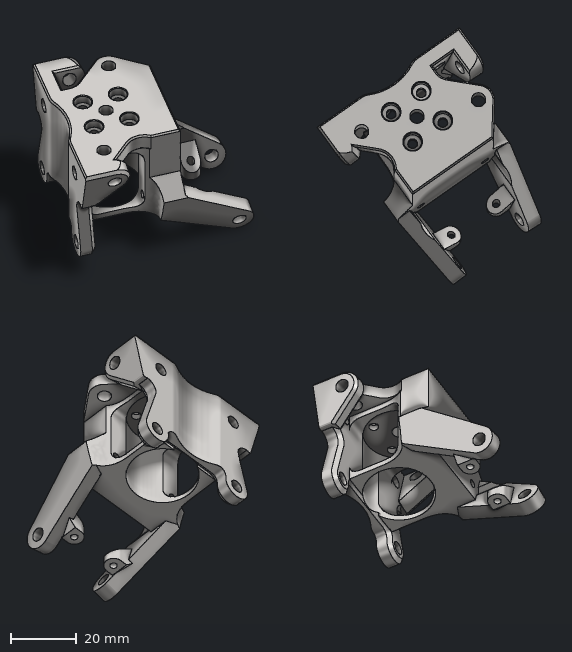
import cadquery as cq
import math


lean = math.radians(13.8)
lean_cos, lean_sin, lean_tan = math.cos(lean), math.sin(lean), math.tan(lean)
diagonal = math.sqrt(0.5)
pin_dia = 4.3
top_chamfer = 0.5
reach = 114.4

wall_thick = 5.05
wall_bottom = -32.3
wall_half_top = 21.75
notch_x, notch_z, notch_radius = 21.2, -19.8, 3.6
leg_x, leg_z, leg_radius = 17.0, -35.75, 4.7
leg_inner_fillet = 2.45
leg_chamfer = 1.3
front_hole_x, front_hole_z = 15.5, -7.9

hollow_radius = 17.5
hollow_edge_radius = 5.0
hollow_half_width = 10.35

ear_thick = 6.0
ear_radius = 5.15
ear_hole_y, ear_hole_z = 9.65, -5.2
ear_outer_x = 25.75
ear_bottom = -11.7
ear_corner_fillet = 0.75
ear_outer_chamfer = 1.0
ear_nose_chamfer = 1.6

plate_thick = 5.15
plate_back = 34.0
plate_half_back = 15.15
knuckle_x, knuckle_y, knuckle_radius = -18.3, 21.75, 4.9
slot_edge_x = -12.9
slot_fillet = 5.0
recess_x = 14.0
recess_radius = 6.0
recess_slope_sum = 32.6
recess_slope_end_x = 21.75
screw_pitch = 11.3
middle_y = 15.05
screw_dia, screw_head_dia, screw_head_depth = 2.9, 5.5, 3.0
screw_head_chamfer = 0.26
corner_hole_x, corner_hole_y = 16.45, 9.1

arm_thick = 5.0
arm_hole_x, arm_hole_y, arm_hole_z = 11.6, 52.55, -41.1
arm_radius = 4.65
arm_top_slope, arm_bottom_slope = math.radians(37.2), math.radians(30.1)
arm_root_y = 25.15

chamber_dia = 22.3
housing_half_width = 13.0
window_back = 22.9
window_top, window_bottom = -7.25, -30.3
window_radius = 3.55
bevel_top, bevel_bottom = -17.25, -23.5
bevel_x = arm_hole_x + arm_thick / lean_cos + (bevel_bottom - arm_hole_z) * lean_tan
relief_start_y = 16.1
relief_middle_y = 24.2
relief_back = 26.95
tie_hole_x, tie_hole_z = 12, -26.75
tie_hole_dia, tie_clearance_dia = 2.5, 7.55

tab_hole_x, tab_hole_y, tab_hole_dia = 8.4, 44.9, 2.25
tab_radius = 3.05
tab_bottom, tab_tip_top = -43.3, -40.25
tab_top_slope = math.radians(36.4)
tab_foot_x = 11.0
tab_root_x = 14.3

outwards = f"({lean_cos},0,{-lean_sin})"
inwards = f"({-lean_cos},0,{lean_sin})"
up_lean = f"({lean_sin},0,{lean_cos})"


def leaning_plane(x, y, z):
    """Plane on the +X side: local x is Y, local y runs up the lean, the normal points outwards."""
    return cq.Plane(origin=(x, y, z), xDir=(0, 1, 0), normal=(lean_cos, 0, -lean_sin))


def prism_y(points, y_from, y_to):
    """Extrude an X-Z outline from y_from to y_to."""
    return cq.Workplane("XZ", origin=(0, y_from, 0)).polyline(points).close().extrude(y_from - y_to)


def rod_y(x, z, diameter, y_from, y_to):
    return cq.Workplane("XZ", origin=(x, y_from, z)).circle(diameter / 2).extrude(y_from - y_to)


def rods_z(points, diameter, z_from, z_to):
    start = cq.Workplane("XY", origin=(0, 0, z_from))
    return start.pushPoints(points).circle(diameter / 2).extrude(z_to - z_from)


def tangent_point(point, centre, radius):
    """Point where a line from point touches the circle on its anticlockwise side."""
    dx, dy = point[0] - centre[0], point[1] - centre[1]
    angle = math.atan2(dy, dx) + math.acos(radius / math.hypot(dx, dy))
    return centre[0] + radius * math.cos(angle), centre[1] + radius * math.sin(angle)


def with_mirror(shape):
    return shape.union(shape.mirror("YZ"))


def half_wall():
    """+X half of the front wall with its leg; the leg's side touches the notch and the leg's round end."""
    rise_x, rise_z = notch_x - leg_x, notch_z - leg_z
    between = math.hypot(rise_x, rise_z)
    side_angle = math.atan2(rise_z, rise_x) - math.acos((notch_radius + leg_radius) / between)
    side_cos, side_sin = math.cos(side_angle), math.sin(side_angle)
    notch_start = (notch_x, notch_z + notch_radius)
    notch_middle = (notch_x - notch_radius * diagonal, notch_z + notch_radius * diagonal)
    notch_end = (notch_x - notch_radius * side_cos, notch_z - notch_radius * side_sin)
    leg_side = (leg_x + leg_radius * side_cos, leg_z + leg_radius * side_sin)
    leg_inner = leg_x - leg_radius
    fillet_x, fillet_z = leg_inner - leg_inner_fillet, wall_bottom - leg_inner_fillet
    fillet_middle = (fillet_x + leg_inner_fillet * diagonal, fillet_z + leg_inner_fillet * diagonal)
    half = (
        cq.Workplane("XZ")
        .lineTo(wall_half_top, 0)
        .lineTo(*notch_start)
        .threePointArc(notch_middle, notch_end)
        .lineTo(*leg_side)
        .threePointArc((leg_x, leg_z - leg_radius), (leg_inner, leg_z))
        .lineTo(leg_inner, fillet_z)
        .threePointArc(fillet_middle, (fillet_x, wall_bottom))
        .lineTo(0, wall_bottom)
        .close()
        .extrude(-wall_thick)
    )
    outer_edges = cq.selectors.BoxSelector(
        (leg_inner, 0, notch_z + notch_radius),
        (reach, 2 * wall_thick, leg_z - 2 * leg_radius),
    )
    half = half.faces(">Y").edges(outer_edges).chamfer(leg_chamfer)
    half = half.cut(rod_y(front_hole_x, front_hole_z, pin_dia, 0, wall_thick))
    return half.cut(rod_y(leg_x, leg_z, pin_dia, 0, wall_thick))


def ear():
    """+X ear: chamfered round the outer face, with its top edge reaching above Z = 0."""
    front = -ear_hole_y
    nose = (ear_radius * math.cos(math.pi / 8), ear_radius * math.sin(math.pi / 8))
    slope_start = (ear_radius * diagonal, -ear_radius * diagonal)
    slope_end_y = slope_start[0] + ear_bottom - slope_start[1]
    body = (
        cq.Workplane(leaning_plane(ear_outer_x, ear_hole_y, ear_hole_z))
        .moveTo(front, ear_radius)
        .lineTo(0, ear_radius)
        .threePointArc(nose, slope_start)
        .lineTo(slope_end_y, ear_bottom)
        .lineTo(front, ear_bottom)
        .close()
        .extrude(-ear_thick)
    )
    body = body.faces(f">{outwards}").edges(f"not(<Y or <{up_lean})").chamfer(ear_outer_chamfer)
    return body.faces(f">{outwards}").edges(f"<{up_lean}").fillet(ear_corner_fillet)


def ear_hole():
    plane = leaning_plane(ear_outer_x, ear_hole_y, ear_hole_z)
    return cq.Workplane(plane).circle(pin_dia / 2).extrude(-ear_thick)


def plate():
    """Top plate with a knuckle and slot on the -X edge and a matching recess in the +X edge."""
    knuckle_start = tangent_point((-plate_half_back, plate_back), (knuckle_x, knuckle_y), knuckle_radius)
    knuckle_end = (knuckle_x - knuckle_radius * diagonal, knuckle_y - knuckle_radius * diagonal)
    slot_corner_y = sum(knuckle_end) - slot_edge_x
    recess_cx = recess_x + recess_radius
    recess_cy = recess_slope_sum + recess_radius / diagonal - recess_cx
    recess_rise = math.sqrt(recess_radius**2 - (recess_cx - plate_half_back) ** 2)
    recess_end = (recess_cx - recess_radius * diagonal, recess_cy - recess_radius * diagonal)
    body = (
        cq.Workplane("XY", origin=(0, 0, -plate_thick))
        .moveTo(-plate_half_back, plate_back)
        .lineTo(*knuckle_start)
        .threePointArc((knuckle_x - knuckle_radius, knuckle_y), knuckle_end)
        .lineTo(slot_edge_x, slot_corner_y)
        .lineTo(slot_edge_x, 0)
        .lineTo(recess_slope_end_x, 0)
        .lineTo(recess_slope_end_x, recess_slope_sum - recess_slope_end_x)
        .lineTo(*recess_end)
        .threePointArc((recess_x, recess_cy), (plate_half_back, recess_cy + recess_rise))
        .lineTo(plate_half_back, plate_back)
        .close()
        .extrude(plate_thick)
    )
    slot_corner = cq.selectors.NearestToPointSelector((slot_edge_x, slot_corner_y, -plate_thick / 2))
    return body.edges("|Z").edges(slot_corner).fillet(slot_fillet)


def front_hollow():
    """Shallow round hollow whose edges roll smoothly into the front face."""
    turn = math.asin(hollow_half_width / (hollow_radius + hollow_edge_radius))
    depth = (hollow_radius + hollow_edge_radius) * (1 - math.cos(turn))
    touch_x, touch_y = hollow_radius * math.sin(turn), hollow_edge_radius * (1 - math.cos(turn))
    edge_x = hollow_half_width - hollow_edge_radius * math.sin(turn / 2)
    edge_y = hollow_edge_radius * (1 - math.cos(turn / 2))
    return (
        cq.Workplane("XY")
        .moveTo(-hollow_half_width, 0)
        .threePointArc((-edge_x, edge_y), (-touch_x, touch_y))
        .threePointArc((0, depth), (touch_x, touch_y))
        .threePointArc((edge_x, edge_y), (hollow_half_width, 0))
        .close()
        .extrude(-reach)
    )


def is_chamfered_top_edge(edge):
    """True for the top edges of the plate and front face, not for the outer edges of the ears."""
    middle = edge.Center()
    tolerance = 0.005
    on_top = middle.z > -tolerance
    return on_top and (abs(middle.x) < recess_slope_end_x or middle.y < tolerance)


def top_holes():
    """Pin holes and counterbored screw holes through the plate."""
    pins = [(0, middle_y), (knuckle_x, knuckle_y), (corner_hole_x, corner_hole_y)]
    half_pitch = screw_pitch / 2
    screws = [(x, middle_y + y) for x in (-half_pitch, half_pitch) for y in (-half_pitch, half_pitch)]
    holes = rods_z(pins, pin_dia, -plate_thick, 0)
    holes = holes.union(rods_z(screws, screw_dia, -plate_thick, 0))
    holes = holes.union(rods_z(screws, screw_head_dia, -screw_head_depth, 0))
    head_radius = screw_head_dia / 2
    for x, y in screws:
        base = cq.Vector(x, y, -screw_head_chamfer)
        rim = cq.Solid.makeCone(head_radius, head_radius + screw_head_chamfer, screw_head_chamfer, base)
        holes = holes.union(cq.Workplane(rim))
    return holes


def arm():
    """Tapered +X arm with a round end about its pivot hole."""
    top_touch = (arm_radius * math.sin(arm_top_slope), arm_radius * math.cos(arm_top_slope))
    bottom_touch = (-arm_radius * math.sin(arm_bottom_slope), -arm_radius * math.cos(arm_bottom_slope))
    root_top = plate_back - arm_hole_y
    root_bottom = arm_root_y - arm_hole_y
    return (
        cq.Workplane(leaning_plane(arm_hole_x, arm_hole_y, arm_hole_z))
        .moveTo(*top_touch)
        .threePointArc((arm_radius * diagonal, -arm_radius * diagonal), bottom_touch)
        .lineTo(root_bottom, bottom_touch[1] + (bottom_touch[0] - root_bottom) * math.tan(arm_bottom_slope))
        .lineTo(root_top, top_touch[1] + (top_touch[0] - root_top) * math.tan(arm_top_slope))
        .close()
        .moveTo(0, 0)
        .circle(pin_dia / 2)
        .extrude(arm_thick)
    )


def tab():
    """Drilled tab with a sloping top and an undercut foot, reaching inwards from the +X arm."""
    tip_x = tab_hole_x - tab_radius
    profile = prism_y(
        [
            (tip_x, tab_bottom),
            (tab_foot_x, tab_bottom),
            (tab_root_x, tab_bottom + tab_root_x - tab_foot_x),
            (tab_root_x, tab_tip_top + (tab_root_x - tip_x) * math.tan(tab_top_slope)),
            (tip_x, tab_tip_top),
        ],
        tab_hole_y - tab_radius,
        tab_hole_y + tab_radius,
    )
    rounded_plan = (
        cq.Workplane("XY", origin=(0, 0, tab_bottom))
        .moveTo(tab_root_x, tab_hole_y - tab_radius)
        .lineTo(tab_hole_x, tab_hole_y - tab_radius)
        .threePointArc((tip_x, tab_hole_y), (tab_hole_x, tab_hole_y + tab_radius))
        .lineTo(tab_root_x, tab_hole_y + tab_radius)
        .close()
        .extrude(reach)
    )
    drill = rods_z([(tab_hole_x, tab_hole_y)], tab_hole_dia, tab_bottom, 0)
    return profile.intersect(rounded_plan).cut(drill)


def side_relief():
    """Space outside the housing, bounded by the curve that sweeps from its side to the arm."""
    return (
        cq.Workplane("XY", origin=(0, 0, -plate_thick))
        .moveTo(housing_half_width, relief_start_y)
        .spline(
            [(plate_half_back, relief_middle_y), (bevel_x, relief_back)],
            tangents=[(0, 1), (1, 0)],
            includeCurrent=True,
        )
        .lineTo(reach, relief_back)
        .lineTo(reach, 0)
        .lineTo(housing_half_width, 0)
        .close()
        .extrude(-reach)
    )


def side_window():
    depth, height = window_back - wall_thick, window_top - window_bottom
    return (
        cq.Workplane("YZ")
        .center((window_back + wall_thick) / 2, (window_top + window_bottom) / 2)
        .rect(depth, height)
        .extrude(reach)
        .edges("|X")
        .fillet(window_radius)
    )


def half_housing():
    """+X half of the housing below the plate, with its arm and tab."""
    block = prism_y(
        [
            (0, -plate_thick),
            (plate_half_back, -plate_thick),
            (plate_half_back, bevel_top),
            (bevel_x, bevel_bottom),
            (bevel_x - (bevel_bottom - wall_bottom) * lean_tan, wall_bottom),
            (0, wall_bottom),
        ],
        wall_thick,
        plate_back,
    )
    bevel_run, bevel_drop = bevel_x - plate_half_back, bevel_top - bevel_bottom
    above_bevel = prism_y(
        [
            (plate_half_back, bevel_top),
            (plate_half_back + 2 * bevel_run, bevel_top - 2 * bevel_drop),
            (plate_half_back + 2 * bevel_run, bevel_top),
        ],
        wall_thick,
        arm_hole_y,
    )
    half = block.union(arm()).cut(above_bevel).cut(side_relief()).cut(side_window())
    half = half.cut(rod_y(tie_hole_x, tie_hole_z, tie_hole_dia, wall_thick, plate_back))
    half = half.cut(rod_y(tie_hole_x, tie_hole_z, tie_clearance_dia, plate_back, arm_hole_y))
    return half.union(tab())


nosed_ear = ear().faces(f">{inwards}").edges(">Y").chamfer(ear_nose_chamfer)
body = with_mirror(half_wall()).union(plate())
body = body.union(nosed_ear).union(ear().mirror("YZ"))
body = body.cut(cq.Workplane("XY").rect(reach, reach).extrude(reach))
body = body.cut(front_hollow())
top_edges = [edge for edge in body.edges().vals() if is_chamfered_top_edge(edge)]
body = body.newObject(top_edges).chamfer(top_chamfer)

body = body.union(with_mirror(half_housing()))
body = body.cut(rods_z([(0, middle_y)], chamber_dia, -reach, -plate_thick))

body = body.cut(top_holes())
result = body.cut(with_mirror(ear_hole()))